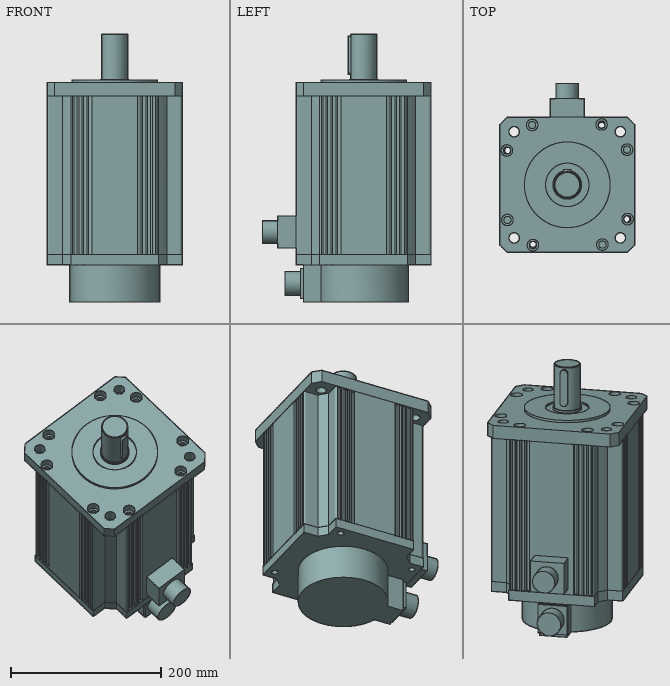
import cadquery as cq

width = 180.0
half_width = width / 2
cover_height = 49.3
plate_thickness = 14.0
flange_thickness = 18.2
total_height = 357.0
plate_bottom = cover_height
stator_bottom = plate_bottom + plate_thickness
flange_bottom = 274.0
flange_top = flange_bottom + flange_thickness
stator_height = flange_bottom - stator_bottom

flange_chamfer = 10.0
spigot_diameter = 114.2
spigot_height = 3.2
recess_diameter = 58.0
recess_depth = 2.0
mount_hole_offset = 70.7
mount_hole_diameter = 13.5
counterbore_diameter = 15.5
counterbore_depth = 11.8
screw_hole_diameter = 9.5
through_screw_place = (45.7, 80.5)
short_screw_place = (-46.8, 79.5)
spigot_top = flange_top + spigot_height
recess_floor = spigot_top - recess_depth

wing_half_width = 58.5
corner_chamfer = 10.7
core_radius = 90.5
wing_rounding_depth = 3.5
tie_hole_place = (45.7, 79.0)
tie_hole_diameter = 8.5
panel_half_width = 30.5
groove_width = 4.5
groove_cut_depth = 10.7
valley_depth = 3.0
rib_width = 2.0
rib_pitch = 6.5
valley_count = 3
first_rib = panel_half_width + groove_width
last_rib_end = first_rib + valley_count * rib_pitch + rib_width
wing_rounding_width = wing_half_width - last_rib_end
wing_rounding = (wing_rounding_width**2 + wing_rounding_depth**2) / (2 * wing_rounding_width)

shaft_diameter = 35.0
shaft_chamfer = 1.0
collar_diameter = 38.2
collar_rise = 0.7
collar_top = spigot_top + collar_rise
key_width = 10.0
key_bottom = 302.7
key_length = 51.0
key_seat = 12.5
key_height = 8.2

cover_diameter = 120.0
cover_box_width = 37.5
cover_box_end = 80.5
signal_plate_size = 40.0
signal_plate_thickness = 4.0
signal_plug_diameter = 32.0
signal_plug_length = 20.7
power_box_width = 45.7
power_box_height = 43.2
power_box_length = 24.5
power_plug_diameter = 30.5
power_plug_length = 20.5
power_height = 93.0


def quarter_turns(place):
    """The four places reached by turning one place about the axis in quarter turns."""
    x, y = place
    return [(x, y), (-y, x), (-x, -y), (y, -x)]


def upright(bottom):
    """Sketch plane looking up from a height."""
    return cq.Workplane("XY", origin=(0, 0, bottom))


def facing_back(y, z):
    """Sketch plane facing +Y, centred at a height."""
    return cq.Workplane("XZ", origin=(0, y, z))


def make_flange():
    flange = upright(flange_bottom).rect(width, width).extrude(flange_thickness)
    flange = flange.edges("|Z").chamfer(flange_chamfer)
    spigot = upright(flange_top).circle(spigot_diameter / 2).extrude(spigot_height)
    recess = upright(recess_floor).circle(recess_diameter / 2).extrude(recess_depth)
    flange = flange.union(spigot).cut(recess)
    mount_places = quarter_turns((mount_hole_offset, mount_hole_offset))
    mount_holes = upright(flange_bottom).pushPoints(mount_places).circle(mount_hole_diameter / 2)
    flange = flange.cut(mount_holes.extrude(flange_thickness))
    screw_places = quarter_turns(through_screw_place) + quarter_turns(short_screw_place)
    screw_holes = upright(flange_bottom).pushPoints(screw_places).circle(screw_hole_diameter / 2)
    counterbores = upright(flange_top).pushPoints(screw_places).circle(counterbore_diameter / 2)
    flange = flange.cut(screw_holes.extrude(flange_thickness))
    return flange.cut(counterbores.extrude(-counterbore_depth))


def wing_cross(bottom, height):
    """Square column with its four corners notched out."""
    along_x = upright(bottom).rect(width, 2 * wing_half_width).extrude(height)
    along_y = upright(bottom).rect(2 * wing_half_width, width).extrude(height)
    return along_x.union(along_y)


def tie_holes(bottom, height):
    places = quarter_turns(tie_hole_place)
    return upright(bottom).pushPoints(places).circle(tie_hole_diameter / 2).extrude(height)


def make_channel(start, channel_width, depth):
    """Cutter for one straight channel in the +X half of the +Y side."""
    middle = (start + channel_width / 2, half_width - depth / 2)
    return upright(stator_bottom).center(*middle).rect(channel_width, depth).extrude(stator_height)


def make_wing_rounding():
    """Cutter that rounds the outer edge of the last rib, on the +X half of the +Y side."""
    outline = upright(stator_bottom).moveTo(wing_half_width, half_width - wing_rounding_depth)
    outline = outline.radiusArc((last_rib_end, half_width), -wing_rounding)
    return outline.lineTo(wing_half_width, half_width).close().extrude(stator_height)


def make_stator():
    cutters = [make_wing_rounding(), make_channel(panel_half_width, groove_width, groove_cut_depth)]
    for index in range(valley_count):
        valley_start = first_rib + index * rib_pitch + rib_width
        cutters.append(make_channel(valley_start, rib_pitch - rib_width, valley_depth))
    wings = wing_cross(stator_bottom, stator_height)
    for cutter in cutters:
        for half in (cutter, cutter.mirror("YZ")):
            for angle in (0, 90, 180, 270):
                wings = wings.cut(half.rotate((0, 0, 0), (0, 0, 1), angle))
    square = upright(stator_bottom).rect(width, width).extrude(stator_height)
    core = upright(stator_bottom).circle(core_radius).extrude(stator_height).intersect(square)
    return wings.union(core).cut(tie_holes(stator_bottom, stator_height))


def make_rear_plate():
    plate = wing_cross(plate_bottom, plate_thickness)
    outer = wing_half_width + corner_chamfer
    core = upright(plate_bottom).rect(2 * outer, 2 * outer).extrude(plate_thickness)
    core = core.edges("|Z").chamfer(corner_chamfer)
    return plate.union(core).cut(tie_holes(plate_bottom, plate_thickness))


def make_key():
    """Round-ended key lying along the +Y side of the shaft."""
    middle = key_bottom + key_length / 2
    return facing_back(key_seat, middle).slot2D(key_length, key_width, 90).extrude(-key_height)


def make_shaft(key):
    shaft = upright(recess_floor).circle(shaft_diameter / 2).extrude(total_height - recess_floor)
    shaft = shaft.faces(">Z").chamfer(shaft_chamfer)
    collar = upright(recess_floor).circle(collar_diameter / 2).extrude(collar_top - recess_floor)
    return shaft.union(collar).cut(key)


def make_rear_cover():
    cover = upright(0).circle(cover_diameter / 2).extrude(cover_height)
    box = upright(0).center(0, cover_box_end / 2).rect(cover_box_width, cover_box_end)
    return cover.union(box.extrude(cover_height))


def make_connector(y, z, base_size, base_length, plug_diameter, plug_length):
    """Rectangular base standing on a face at y, with a round plug on its outer side."""
    base = facing_back(y, z).rect(*base_size).extrude(-base_length)
    plug = facing_back(y + base_length, z).circle(plug_diameter / 2).extrude(-plug_length)
    return base.union(plug)


flange = make_flange()
stator = make_stator()
rear_plate = make_rear_plate()
key = make_key()
shaft = make_shaft(key)
rear_cover = make_rear_cover()
power_connector = make_connector(
    half_width, power_height, (power_box_width, power_box_height), power_box_length,
    power_plug_diameter, power_plug_length,
)
signal_connector = make_connector(
    cover_box_end, cover_height / 2, (signal_plate_size, signal_plate_size), signal_plate_thickness,
    signal_plug_diameter, signal_plug_length,
)

bodies = [flange, stator, rear_plate, shaft, key, rear_cover, power_connector, signal_connector]
result = cq.Compound.makeCompound([body.solids().val() for body in bodies])